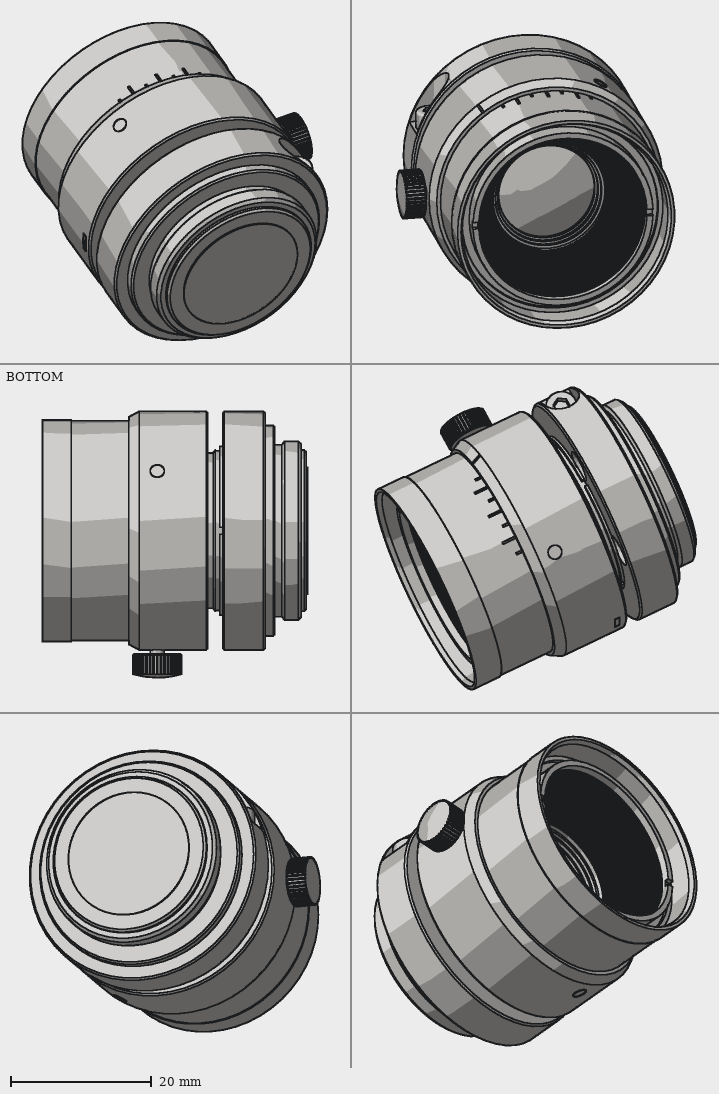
import cadquery as cq
import math

length = 37.75
barrel_radius = 17.0
knob_top = 37.95 - barrel_radius
edge_chamfer = 0.25

rim_radius = 15.8
rim_length = 4.1
front_radius = 15.65
front_end = 12.33

shoulder_radius = 16.2
shoulder_end = 13.8
barrel_end = 23.55

neck_radius = 11.08
neck_step_start = 24.3
neck_step_peak_radius = 11.5
neck_step_peak = 24.62
neck_step_radius = 11.4
flange_start = 25.23
flange_radius = 12.03
flange_slot_width = 1.0

ring_start = 25.65
ring_end = 31.7
ring_hole_radius = 2.28
ring_hole_circle = 13.28
ring_hole_depth = 3.8
ring_hole_angles = (50.5, -9.5)

collar_radius = 15.005
collar_end = 33.1
mount_neck_radius = 12.25
mount_cone_start = 34.07
mount_radius = 12.75
mount_start = 34.5
mount_end = 36.85
mount_chamfer = 0.45
tail_radius = 11.5
tail_end = 37.55
tail_chamfer = 0.35
rear_disc_radius = 18.1 / 2

mouth_radius = 15.3
mouth_step_radius = 15.15
mouth_step_depth = 0.35
bore_radius = 14.95
bore_start = 0.72
ledge_radius = 14.25
ledge_depth = 4.17
groove_depth = 4.75
retainer_outer_radius = 13.1
retainer_inner_radius = 12.2
retainer_depth = 2.12
retainer_slot_width = 1.0
retainer_slot_depth = 0.65
baffle_start = 3.3
baffle_end = 11.55
baffle_end_radius = 8.2
baffle_steps = 40
seat_depth = 12.05
seat_radius = 7.75
inner_seat_depth = 12.6
inner_seat_radius = 7.35
lens_seat_depth = 13.2
lens_radius = 14.0 / 2
lens_edge_depth = 13.77
lens_bulge = 1.5

knob_x = 16.35
knob_radius = 3.45
knob_bottom = 17.53
knob_shoulder = 20.4
knob_chamfer = 0.2
knob_stem_radius = 2.0 / 2
knurl_count = 40
knurl_width = 0.2
knurl_depth = 0.15
set_screw_radius = 2.0 / 2
mark_depth = 0.1

index_x = 21.95
index_length = 0.75
index_width = 2.9

tick_count = 7
tick_pitch = 8.05
tick_width = 0.3
tick_depth = 0.08
scale_angle = 1.2
short_tick = 0.9
long_tick = 2.05
shoulder_mark_angle = 35.7

screw_x = (ring_start + ring_end) / 2
screw_y = 13.5
pocket_radius = 2.5
pocket_floor = 5.15
screw_head_radius = 2.22
screw_head_top = 7.65
screw_head_round = 0.4
socket_across_flats = 2.05
socket_depth = 1.15


def revolved(profile):
    """Turn a closed profile of (x, radius) about the optical axis."""
    return profile.close().revolve(360, (0, 0, 0), (1, 0, 0))


def turned_body():
    outline = [
        (0, 0),
        (0, rim_radius),
        (rim_length, rim_radius),
        (rim_length, front_radius),
        (front_end, front_radius),
        (front_end, shoulder_radius),
        (shoulder_end, barrel_radius),
        (barrel_end - edge_chamfer, barrel_radius),
        (barrel_end, barrel_radius - edge_chamfer),
        (barrel_end, neck_radius),
        (neck_step_start, neck_radius),
        (neck_step_peak, neck_step_peak_radius),
        (neck_step_peak, neck_step_radius),
        (flange_start, neck_step_radius),
        (flange_start, flange_radius),
        (ring_start, flange_radius),
        (ring_start, barrel_radius - edge_chamfer),
        (ring_start + edge_chamfer, barrel_radius),
        (ring_end - edge_chamfer, barrel_radius),
        (ring_end, barrel_radius - edge_chamfer),
        (ring_end, collar_radius),
        (collar_end - edge_chamfer, collar_radius),
        (collar_end, collar_radius - edge_chamfer),
        (collar_end, mount_neck_radius),
        (mount_cone_start, mount_neck_radius),
        (mount_start, mount_radius),
        (mount_end - mount_chamfer, mount_radius),
        (mount_end, mount_radius - mount_chamfer),
        (mount_end, tail_radius),
        (tail_end - tail_chamfer, tail_radius),
        (tail_end, tail_radius - tail_chamfer),
        (tail_end, rear_disc_radius),
        (length, rear_disc_radius),
        (length, 0),
    ]
    return revolved(cq.Workplane("XY").polyline(outline))


def front_cavity():
    """Stepped light baffle funnelling down to the convex front glass."""
    outline = [
        (0, 0),
        (0, mouth_radius),
        (mouth_step_depth, mouth_step_radius),
        (bore_start, bore_radius),
        (ledge_depth, bore_radius),
        (ledge_depth, ledge_radius),
        (groove_depth, ledge_radius),
        (groove_depth, retainer_outer_radius),
        (retainer_depth, retainer_outer_radius),
        (retainer_depth, retainer_inner_radius),
    ]
    step_length = (baffle_end - baffle_start) / baffle_steps
    step_height = (retainer_inner_radius - baffle_end_radius) / baffle_steps
    for step in range(baffle_steps):
        x = baffle_start + step * step_length
        radius = retainer_inner_radius - step * step_height
        outline += [(x, radius), (x, radius - step_height)]
    outline += [
        (seat_depth, baffle_end_radius),
        (seat_depth, seat_radius),
        (inner_seat_depth, seat_radius),
        (inner_seat_depth, inner_seat_radius),
        (lens_seat_depth, inner_seat_radius),
        (lens_seat_depth, lens_radius),
        (lens_edge_depth, lens_radius),
    ]
    glass_radius = (lens_radius**2 + lens_bulge**2) / (2 * lens_bulge)
    apex = lens_edge_depth - lens_bulge
    half_angle = math.asin(lens_radius / glass_radius) / 2
    middle = (
        apex + glass_radius * (1 - math.cos(half_angle)),
        glass_radius * math.sin(half_angle),
    )
    return revolved(cq.Workplane("XY").polyline(outline).threePointArc(middle, (apex, 0)))


def retainer_slots():
    """Spanner slots across the front of the retaining ring, at +Y and -Y."""
    ring = (
        cq.Workplane("YZ", origin=(retainer_depth, 0, 0))
        .circle(retainer_outer_radius)
        .circle(retainer_inner_radius)
        .extrude(retainer_slot_depth)
    )
    bar = cq.Workplane("XY").box(length, 2 * barrel_radius, retainer_slot_width)
    return ring.intersect(bar)


def flange_slots():
    """Four slots through the flange in front of the clamp ring."""
    ring = (
        cq.Workplane("YZ", origin=(flange_start, 0, 0))
        .circle(flange_radius)
        .circle(neck_step_radius)
        .extrude(ring_start - flange_start)
    )
    bar = cq.Workplane("XY").box(2 * length, 2 * barrel_radius, flange_slot_width)
    return ring.intersect(bar.union(bar.rotate((0, 0, 0), (1, 0, 0), 90)))


def ring_holes():
    """Blind holes in the front face of the clamp ring, parallel to the optical axis."""
    holes = cq.Workplane("YZ", origin=(ring_start, 0, 0))
    for angle in ring_hole_angles:
        turn = math.radians(angle)
        holes = holes.moveTo(-ring_hole_circle * math.sin(turn), ring_hole_circle * math.cos(turn))
        holes = holes.circle(ring_hole_radius)
    return holes.extrude(ring_hole_depth)


def knob():
    profile = [
        (0, barrel_radius - 0.38),
        (knob_stem_radius, barrel_radius - 0.38),
        (knob_stem_radius, knob_bottom),
        (knob_radius - knob_chamfer, knob_bottom),
        (knob_radius, knob_bottom + knob_chamfer),
        (knob_radius, knob_shoulder),
    ]
    dome_height = knob_top - knob_shoulder
    dome_radius = (knob_radius**2 + dome_height**2) / (2 * dome_height)
    half_angle = math.asin(knob_radius / dome_radius) / 2
    middle = (
        dome_radius * math.sin(half_angle),
        knob_top - dome_radius * (1 - math.cos(half_angle)),
    )
    body = (
        cq.Workplane("XY")
        .polyline(profile)
        .threePointArc(middle, (0, knob_top))
        .close()
        .revolve(360, (0, 0, 0), (0, 1, 0))
    )
    grooves = (
        cq.Workplane("XZ", origin=(0, knob_top, 0))
        .polarArray(knob_radius, 0, 360, knurl_count)
        .rect(2 * knurl_depth, knurl_width)
        .extrude(knob_top - knob_bottom)
    )
    return body.cut(grooves).translate((knob_x, 0, 0))


def turned_from_top(shape, angle):
    """Turn a shape made at +Z about the optical axis, by degrees towards +Y."""
    return shape.rotate((0, 0, 0), (1, 0, 0), -angle)


def set_screw_marks():
    recess = (
        cq.Workplane("XY", origin=(knob_x, 0, barrel_radius - mark_depth))
        .circle(set_screw_radius)
        .extrude(0.38)
    )
    return turned_from_top(recess, -30).union(turned_from_top(recess, 210))


def index_mark():
    recess = cq.Workplane("XY").box(index_length, 2 * mark_depth, index_width)
    return recess.translate((index_x, -barrel_radius, 0))


def aperture_scale():
    """Engraved ticks, alternately short and long, ending at the shoulder."""
    ticks = cq.Workplane("XY")
    for index in range(tick_count):
        tick_length = long_tick if index % 2 else short_tick
        tick = (
            cq.Workplane("XY")
            .box(tick_length, tick_width, 2 * tick_depth)
            .translate((front_end - tick_length / 2, 0, front_radius))
        )
        angle = (index - (tick_count - 1) / 2) * tick_pitch
        ticks = ticks.add(turned_from_top(tick, angle + scale_angle))
    return ticks.combine()


def shoulder_mark():
    """Engraved line running up the conical shoulder."""
    line = (
        cq.Workplane("XZ", origin=(0, tick_width / 2, 0))
        .moveTo(front_end, shoulder_radius - tick_depth)
        .lineTo(shoulder_end, barrel_radius - tick_depth)
        .lineTo(shoulder_end, barrel_radius)
        .lineTo(front_end, barrel_radius)
        .close()
        .extrude(tick_width)
    )
    return turned_from_top(line, shoulder_mark_angle)


def screw_pocket():
    """Round-ended pocket for the clamp screw, open towards +Y."""
    outline = (
        cq.Workplane("XY", origin=(screw_x, screw_y, pocket_floor))
        .moveTo(-pocket_radius, barrel_radius - screw_y)
        .lineTo(-pocket_radius, 0)
        .threePointArc((0, -pocket_radius), (pocket_radius, 0))
        .lineTo(pocket_radius, barrel_radius - screw_y)
        .close()
    )
    return outline.extrude(barrel_radius - pocket_floor)


def clamp_screw():
    head = (
        cq.Workplane("XY", origin=(screw_x, screw_y, pocket_floor))
        .circle(screw_head_radius)
        .extrude(screw_head_top - pocket_floor)
        .faces(">Z")
        .edges()
        .fillet(screw_head_round)
    )
    across_corners = socket_across_flats / math.cos(math.pi / 6)
    socket = (
        cq.Workplane("XY")
        .polygon(6, across_corners)
        .extrude(socket_depth)
        .rotate((0, 0, 0), (0, 0, 1), 30)
        .translate((screw_x, screw_y, screw_head_top - socket_depth))
    )
    return head.cut(socket)


result = (
    turned_body()
    .cut(front_cavity())
    .cut(retainer_slots())
    .cut(flange_slots())
    .cut(ring_holes())
    .cut(set_screw_marks())
    .cut(index_mark())
    .cut(aperture_scale())
    .cut(shoulder_mark())
    .cut(screw_pocket())
    .union(clamp_screw())
    .union(knob())
)